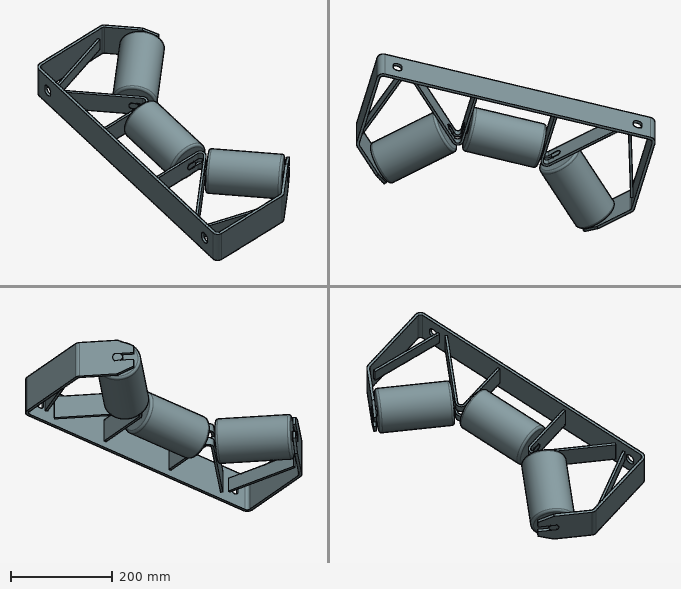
import cadquery as cq
import math

ROLLER_DIAMETER = 89.0
ROLLER_LENGTH = 150.0
ROLLER_EDGE_RADIUS = 5.0
SHAFT_DIAMETER = 20.0
SHOULDER_GAP = 4.5
TIP_FLAT_WIDTH = 16.0
MIDDLE_ROLLER_Y = 98.5
SIDE_ROLLER_X = 167.5
SIDE_ROLLER_Y = 167.5
TILT = 45.0
SLOT_REACH = 40.0

FRAME_WIDTH = 570.0
FRAME_DEPTH = 250.0
FRAME_HEIGHT = 80.0
FRAME_THICKNESS = 5.5
BEND_RADIUS = 7.0
ARM_TIP_HEIGHT = 48.5
ARM_TAPER_LENGTH = 32.0
MOUNT_SLOT_X = 246.0
MOUNT_SLOT_WIDTH = 17.5
MOUNT_SLOT_HEIGHT = 27.0

BRACKET_HEIGHT = 50.0
BRACKET_THICKNESS = 4.85

GUSSET_HEIGHT = 30.0
GUSSET_THICKNESS = 5.0
GUSSET_TOP_Y = 155.0
GUSSET_FOOT_X = 233.5

SHOULDER = ROLLER_LENGTH / 2 + SHOULDER_GAP
DIAGONAL = math.sqrt(0.5)
SIDE_ROLLER_OFFSET = SIDE_ROLLER_Y + SIDE_ROLLER_X
FRAME_ARM_OFFSET = SIDE_ROLLER_OFFSET + (SHOULDER + FRAME_THICKNESS) / DIAGONAL
BRACKET_ARM_OFFSET = SIDE_ROLLER_OFFSET - SHOULDER / DIAGONAL

TIP_LENGTH = FRAME_THICKNESS

ROLLER_POSITIONS = [
    (-SIDE_ROLLER_X, SIDE_ROLLER_Y, -TILT),
    (0, MIDDLE_ROLLER_Y, 0),
    (SIDE_ROLLER_X, SIDE_ROLLER_Y, TILT),
]


def bent_bar(path, thickness, height):
    """Bar whose outer face follows the plan path, with its material to the left of travel."""
    normals = []
    for (x0, y0), (x1, y1) in zip(path, path[1:]):
        length = math.hypot(x1 - x0, y1 - y0)
        normals.append((-(y1 - y0) / length, (x1 - x0) / length))

    inner_path = []
    for point, before, after in zip(path, normals[:1] + normals, normals + normals[-1:]):
        scale = thickness / (1 + before[0] * after[0] + before[1] * after[1])
        inner_path.append(tuple(p + scale * (b + a) for p, b, a in zip(point, before, after)))

    bar = cq.Workplane("XY").polyline(path + inner_path[::-1]).close().extrude(height)
    bar = bar.translate((0, 0, -height / 2))
    for corners, radius in ((path, BEND_RADIUS + thickness), (inner_path, BEND_RADIUS)):
        for x, y in corners[1:-1]:
            bar = bar.edges(cq.NearestToPointSelector((x, y, 0))).fillet(radius)
    return bar


def at_roller(shape, x, y, angle):
    """Move a shape modelled along X at the origin to a roller position."""
    return shape.rotate((0, 0, 0), (0, 0, 1), angle).translate((x, y, 0))


def bar_along_x(diameter, length):
    return cq.Workplane("YZ", origin=(-length / 2, 0, 0)).circle(diameter / 2).extrude(length)


def make_flatted_shaft():
    length = 2 * (SHOULDER + TIP_LENGTH)
    rod = bar_along_x(SHAFT_DIAMETER, length)
    return rod.intersect(cq.Workplane("XY").box(length, SHAFT_DIAMETER, TIP_FLAT_WIDTH))


def make_roller():
    drum = bar_along_x(ROLLER_DIAMETER, ROLLER_LENGTH)
    drum = drum.edges().fillet(ROLLER_EDGE_RADIUS)
    shoulders = bar_along_x(SHAFT_DIAMETER, 2 * SHOULDER)
    return drum.union(shoulders).union(make_flatted_shaft())


def make_seat_cutter():
    """Open slots for both shaft ends: the flatted tip, carried on sideways past the plate edges."""
    length = 2 * (SHOULDER + SHAFT_DIAMETER)
    rod = bar_along_x(SHAFT_DIAMETER, length)
    mouth = cq.Workplane("XY").box(length, SLOT_REACH, SHAFT_DIAMETER).translate((0, SLOT_REACH / 2, 0))
    span = cq.Workplane("XY").box(length, 2 * SLOT_REACH, TIP_FLAT_WIDTH)
    return rod.union(mouth).intersect(span)


def cut_seats(body):
    for position in ROLLER_POSITIONS:
        body = body.cut(at_roller(make_seat_cutter(), *position))
    return body


def make_frame():
    half_width = FRAME_WIDTH / 2
    tip = (FRAME_DEPTH - FRAME_ARM_OFFSET, FRAME_DEPTH)
    left = [tip, (-half_width, FRAME_ARM_OFFSET - half_width), (-half_width, 0)]
    right = [(-x, y) for x, y in reversed(left)]
    frame = bent_bar(left + right, FRAME_THICKNESS, FRAME_HEIGHT)

    arm_plane = cq.Plane(origin=(*tip, 0), xDir=(1, 1, 0), normal=(-1, 1, 0))
    taper = [
        (0, ARM_TIP_HEIGHT / 2),
        (0, FRAME_HEIGHT / 2),
        (-ARM_TAPER_LENGTH, FRAME_HEIGHT / 2),
    ]
    upper_wedge = cq.Workplane(arm_plane).polyline(taper).close().extrude(2 * FRAME_THICKNESS, both=True)
    wedges = upper_wedge.union(upper_wedge.mirror("XY"))
    frame = frame.cut(wedges).cut(wedges.mirror("YZ"))

    mounting_slots = (
        cq.Workplane("XZ").pushPoints([(-MOUNT_SLOT_X, 0), (MOUNT_SLOT_X, 0)])
        .slot2D(MOUNT_SLOT_HEIGHT, MOUNT_SLOT_WIDTH, 90).extrude(-FRAME_THICKNESS)
    )
    return cut_seats(frame.cut(mounting_slots))


def make_left_bracket():
    foot_y = FRAME_THICKNESS + BRACKET_THICKNESS * DIAGONAL
    path = [
        (-SHOULDER, FRAME_THICKNESS),
        (-SHOULDER, BRACKET_ARM_OFFSET - SHOULDER),
        (foot_y - BRACKET_ARM_OFFSET, foot_y),
    ]
    return cut_seats(bent_bar(path, BRACKET_THICKNESS, BRACKET_HEIGHT))


def make_left_gusset():
    path = [
        (FRAME_THICKNESS - FRAME_WIDTH / 2, GUSSET_TOP_Y),
        (-GUSSET_FOOT_X, FRAME_THICKNESS),
    ]
    return bent_bar(path, GUSSET_THICKNESS, GUSSET_HEIGHT)


frame = make_frame()
rollers = [at_roller(make_roller(), *position) for position in ROLLER_POSITIONS]
left_bracket = make_left_bracket()
left_gusset = make_left_gusset()
brackets = [left_bracket, left_bracket.mirror("YZ")]
gussets = [left_gusset, left_gusset.mirror("YZ")]

bodies = [frame, *rollers, *brackets, *gussets]

result = cq.Compound.makeCompound([body.solids().val() for body in bodies])